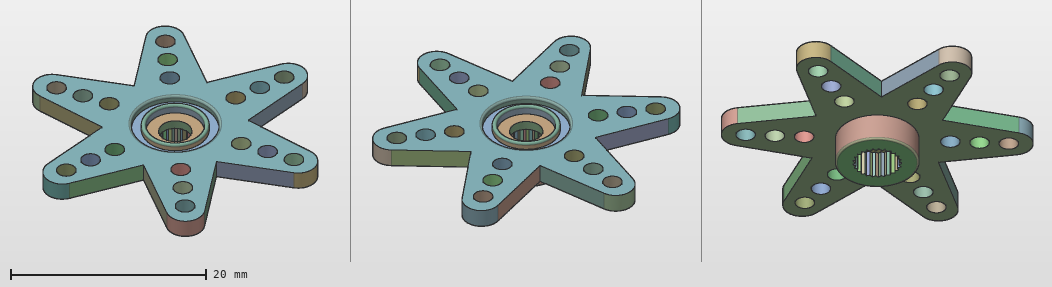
import cadquery as cq
import math

ARM_COUNT = 6
ARM_ANGLE = 360 / ARM_COUNT
PLATE_THICKNESS = 2.0
TIP_RADIUS = 2.0
TIP_CENTER_RADIUS = 14.0
NOTCH_RADIUS = 7.5

ARM_HOLE_DIAMETER = 2.0
ARM_HOLE_RADII = (7.5, 10.5, 13.5)

BOSS_RADIUS = 4.3
BOSS_HEIGHT = 3.0
BOSS_EDGE_FILLET = 0.2

GROOVE_OUTER_RADIUS = 4.5
GROOVE_DEPTH = 0.75
GROOVE_EDGE_FILLET = 0.25
LIP_INNER_RADIUS = 3.0
LIP_WIDTH = 0.5
LIP_OUTER_RADIUS = LIP_INNER_RADIUS + LIP_WIDTH
LIP_CREST_RADIUS = LIP_WIDTH / 2
RECESS_DEPTH = 1.0
CUT_CLEARANCE = 1.0

SCREW_HOLE_RADIUS = 1.7
SOCKET_TOP_DEPTH = 2.0
SPLINE_TEETH = 25
SPLINE_ROOT_RADIUS = 2.5
SPLINE_TIP_RADIUS = 2.25
SPLINE_START_ANGLE = 90

BOTTOM_Z = -(PLATE_THICKNESS + BOSS_HEIGHT)


def polar(radius, degrees):
    """X and Y of a point given by its distance from the axis and its angle."""
    angle = math.radians(degrees)
    return radius * math.cos(angle), radius * math.sin(angle)


def arm_blade():
    """One arm pointing along +X: a kite from the axis with a tangent round tip."""
    notch_x, notch_y = polar(NOTCH_RADIUS, ARM_ANGLE / 2)
    run = TIP_CENTER_RADIUS - notch_x
    tangent_angle = math.atan2(notch_y, -run) - math.acos(TIP_RADIUS / math.hypot(run, notch_y))
    tangent_x = TIP_CENTER_RADIUS + TIP_RADIUS * math.cos(tangent_angle)
    tangent_y = TIP_RADIUS * math.sin(tangent_angle)
    return (
        cq.Workplane("XY")
        .moveTo(0, 0)
        .lineTo(notch_x, -notch_y)
        .lineTo(tangent_x, -tangent_y)
        .threePointArc((TIP_CENTER_RADIUS + TIP_RADIUS, 0), (tangent_x, tangent_y))
        .lineTo(notch_x, notch_y)
        .close()
        .extrude(-PLATE_THICKNESS)
    )


def arm_angles():
    """Arm directions, with one arm along +Y."""
    return [ARM_ANGLE / 2 + ARM_ANGLE * index for index in range(ARM_COUNT)]


def star_plate():
    blade = arm_blade()
    plate = cq.Workplane("XY")
    for angle in arm_angles():
        plate = plate.union(blade.rotate((0, 0, 0), (0, 0, 1), angle))
    hole_centers = [polar(radius, angle) for angle in arm_angles() for radius in ARM_HOLE_RADII]
    holes = cq.Workplane("XY").pushPoints(hole_centers).circle(ARM_HOLE_DIAMETER / 2)
    return plate.clean().cut(holes.extrude(-PLATE_THICKNESS))


def boss():
    body = cq.Workplane("XY").workplane(offset=BOTTOM_Z).circle(BOSS_RADIUS)
    return body.extrude(BOSS_HEIGHT).faces("<Z").edges().fillet(BOSS_EDGE_FILLET)


def hub_top_cut():
    """Half section of the groove, lip and recess, revolved about Z."""
    fillet_start = GROOVE_OUTER_RADIUS + GROOVE_EDGE_FILLET
    fillet_slant = GROOVE_EDGE_FILLET * (1 - math.sqrt(0.5))
    lip_middle = LIP_INNER_RADIUS + LIP_CREST_RADIUS
    return (
        cq.Workplane("XZ")
        .moveTo(0, 0)
        .lineTo(0, -RECESS_DEPTH)
        .lineTo(LIP_INNER_RADIUS, -RECESS_DEPTH)
        .lineTo(LIP_INNER_RADIUS, -LIP_CREST_RADIUS)
        .radiusArc((lip_middle, 0), LIP_CREST_RADIUS)
        .radiusArc((LIP_OUTER_RADIUS, -LIP_CREST_RADIUS), LIP_CREST_RADIUS)
        .lineTo(LIP_OUTER_RADIUS, -GROOVE_DEPTH)
        .lineTo(GROOVE_OUTER_RADIUS, -GROOVE_DEPTH)
        .lineTo(GROOVE_OUTER_RADIUS, -GROOVE_EDGE_FILLET)
        .threePointArc((GROOVE_OUTER_RADIUS + fillet_slant, -fillet_slant), (fillet_start, 0))
        .lineTo(fillet_start, CUT_CLEARANCE)
        .lineTo(0, CUT_CLEARANCE)
        .close()
        .revolve(360, (0, 0, 0), (0, 1, 0))
    )


def screw_hole():
    return cq.Workplane("XY").circle(SCREW_HOLE_RADIUS).extrude(BOTTOM_Z)


def splined_socket():
    """Socket with straight-sided triangular teeth, open at the bottom of the boss."""
    pitch = 360 / SPLINE_TEETH
    outline = []
    for tooth in range(SPLINE_TEETH):
        outline.append(polar(SPLINE_ROOT_RADIUS, SPLINE_START_ANGLE + tooth * pitch))
        outline.append(polar(SPLINE_TIP_RADIUS, SPLINE_START_ANGLE + (tooth + 0.5) * pitch))
    socket = cq.Workplane("XY").workplane(offset=BOTTOM_Z).polyline(outline).close()
    return socket.extrude(-SOCKET_TOP_DEPTH - BOTTOM_Z)


result = (
    star_plate()
    .union(boss())
    .cut(hub_top_cut())
    .cut(screw_hole())
    .cut(splined_socket())
)